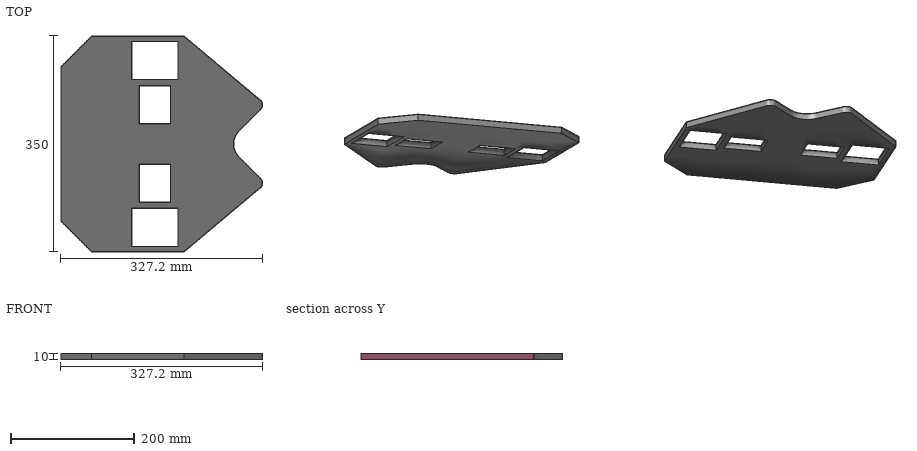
import cadquery as cq

width = 350.0
thickness = 10.0
corner_cut = 50.0
side_end_x = 200.0

notch_root_x = 268.0
notch_radius = 30.0
tip_y = 64.0
tip_x = notch_root_x + tip_y
tip_radius = 10.0

window_center_x = 152.5
window_length_y = 61.5
inner_window_width = 50.0
outer_window_width = 75.0
inner_window_y = 63.7
outer_window_y = 135.5

half_width = width / 2


def make_plate():
    """Plate outline with rounded tips and a rounded notch root."""
    upper_half = [
        (0, half_width - corner_cut),
        (corner_cut, half_width),
        (side_end_x, half_width),
        (tip_x, tip_y),
    ]
    lower_half = [(x, -y) for x, y in reversed(upper_half)]
    outline = upper_half + [(notch_root_x, 0)] + lower_half
    plate = cq.Workplane("XY").polyline(outline).close().extrude(thickness)

    mid_height = thickness / 2
    root_edge = cq.selectors.NearestToPointSelector((notch_root_x, 0, mid_height))
    plate = plate.edges("|Z").edges(root_edge).fillet(notch_radius)
    for side in (1, -1):
        tip_edge = cq.selectors.NearestToPointSelector((tip_x, side * tip_y, mid_height))
        plate = plate.edges("|Z").edges(tip_edge).fillet(tip_radius)
    return plate


def make_windows(center_y, window_width):
    """Cutters for one pair of mirrored windows."""
    return (
        cq.Workplane("XY")
        .pushPoints([(window_center_x, center_y), (window_center_x, -center_y)])
        .rect(window_width, window_length_y)
        .extrude(thickness)
    )


result = (
    make_plate()
    .cut(make_windows(inner_window_y, inner_window_width))
    .cut(make_windows(outer_window_y, outer_window_width))
)